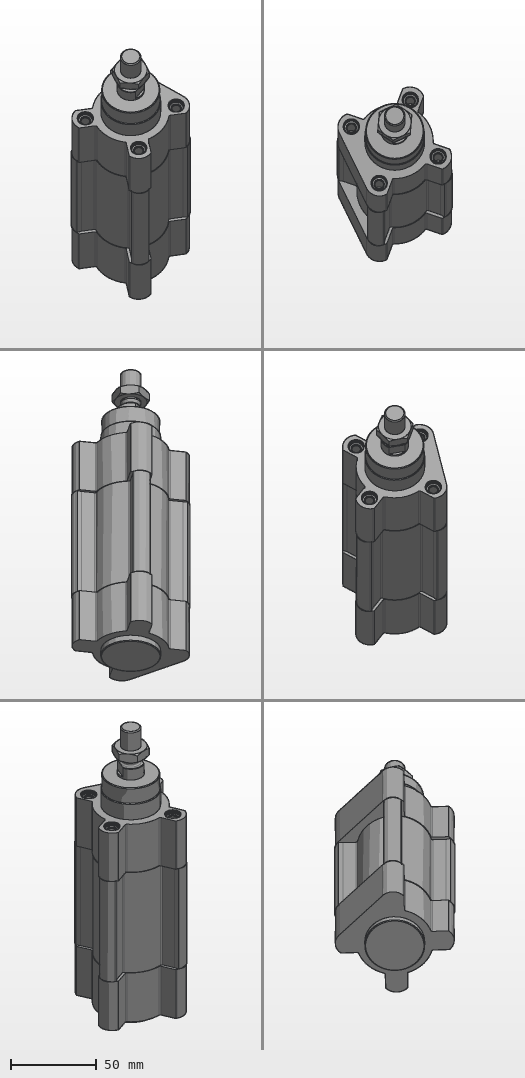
import cadquery as cq
import math

housing_length = 135.0
front_cap_height = 33.0
rear_cap_height = 33.4
barrel_length = housing_length - front_cap_height - rear_cap_height
collar_height = 11.0
nose_height = 10.3
nose_top = collar_height + nose_height
rear_boss_height = 3.9
rod_shoulder = 29.0
thread_length = 24.0
rod_tip = rod_shoulder + thread_length

cap_half_width = 27.0
cap_lobe_radius = 8.4
cap_lobe_center = cap_half_width - cap_lobe_radius
cap_body_radius = 22.5
cap_neck_half_width = 6.5
cap_neck_offset = cap_neck_half_width * math.sqrt(2)
cap_lip_end = cap_half_width - cap_neck_offset

barrel_half_width = 26.8
barrel_lobe_center = 20.3
barrel_body_radius = 22.15
barrel_neck_half_width = 4.7
barrel_neck_offset = barrel_neck_half_width * math.sqrt(2)
barrel_lip_end = 19.5
barrel_lip_drop = 2.2
barrel_neck_start = barrel_half_width - barrel_lip_drop

neck_fillet = 1.0

collar_diameter = 35.0
collar_chamfer = 0.5
boss_chamfer = 0.5
nose_diameter = collar_diameter - 2 * collar_chamfer
nose_waist_diameter = 33.7
nose_chamfer = 0.5

screw_spacing = 38.0
socket_rim_diameter = 9.5
socket_step_diameters = [9.0, 8.8, 8.0, 6.0]
socket_step_depth = 0.7
socket_step_bevel = 0.2
screw_thread_diameter = 4.92
screw_thread_depth = 16.0
drill_point_angle = 118.0

rod_diameter = 16.0
rod_flat_width = 13.0
rod_flat_length = 6.4
rod_shoulder_chamfer = 0.3
thread_diameter = 12.0
tip_chamfer = 0.7
undercut_diameter = 10.2
undercut_height = 2.0
undercut_fillet = 0.9
thread_runout_height = 2.0

nut_width = 19.0
nut_height = 6.0
free_thread_length = 13.0
nut_top = rod_tip - free_thread_length
nut_bottom = nut_top - nut_height
nut_chamfer_angle = 30.0


class NeckCorners(cq.Selector):
    """Vertical edges where the straight lobe necks run into the round body."""

    tolerance = 0.01

    def __init__(self, body_radius, neck_half_width):
        along = math.sqrt(body_radius**2 - neck_half_width**2)
        self.near = (along - neck_half_width) / math.sqrt(2)
        self.far = (along + neck_half_width) / math.sqrt(2)

    def filter(self, edges):
        def is_corner(edge):
            center = edge.Center()
            low, high = sorted((abs(center.x), abs(center.y)))
            on_near = math.isclose(low, self.near, abs_tol=self.tolerance)
            on_far = math.isclose(high, self.far, abs_tol=self.tolerance)
            return on_near and on_far

        return [edge for edge in edges if is_corner(edge)]


def lobed_prism(body_radius, lobe_points, lobe_center, half_width, bottom, height):
    """Round body with four diagonal corner lobes.

    lobe_points run from the end of the lobe's corner arc down the neck towards the axis,
    on the side of the lobe that faces +Y; the other side mirrors them about the diagonal.
    """
    arc_middle = lobe_center + (half_width - lobe_center) / math.sqrt(2)
    lobe = (
        cq.Workplane("XY")
        .moveTo(half_width, lobe_center)
        .threePointArc((arc_middle, arc_middle), (lobe_center, half_width))
    )
    for x, y in lobe_points:
        lobe = lobe.lineTo(x, y)
    for x, y in reversed(lobe_points):
        lobe = lobe.lineTo(y, x)
    lobe = lobe.close().extrude(height)

    prism = cq.Workplane("XY").circle(body_radius).extrude(height)
    for quarter in range(4):
        prism = prism.union(lobe.rotate((0, 0, 0), (0, 0, 1), 90 * quarter))
    return prism.translate((0, 0, bottom))


def end_cap(bottom, height):
    """End cap whose +Y side is closed flat between its two lobes."""
    neck = [(cap_lip_end, cap_half_width), (0, cap_neck_offset)]
    cap = lobed_prism(cap_body_radius, neck, cap_lobe_center, cap_half_width, bottom, height)
    cap = cap.edges(NeckCorners(cap_body_radius, cap_neck_half_width)).fillet(neck_fillet)
    flat_side = (
        cq.Workplane("XY")
        .workplane(offset=bottom)
        .moveTo(0, cap_half_width / 2)
        .rect(2 * cap_lobe_center, cap_half_width)
        .extrude(height)
    )
    return cap.union(flat_side)


def barrel():
    """Profiled tube between the caps, with a small steep lip on each side of every lobe."""
    neck = [
        (barrel_lip_end, barrel_half_width),
        (barrel_neck_start - barrel_neck_offset, barrel_neck_start),
        (0, barrel_neck_offset),
    ]
    bottom = rear_cap_height - housing_length
    tube = lobed_prism(
        barrel_body_radius, neck, barrel_lobe_center, barrel_half_width, bottom, barrel_length
    )
    return tube.edges(NeckCorners(barrel_body_radius, barrel_neck_half_width)).fillet(neck_fillet)


def nose():
    """Collar and the slightly waisted nose ring above it, around the rod."""
    collar = cq.Workplane("XY").circle(collar_diameter / 2).extrude(collar_height)
    collar = collar.faces(">Z").chamfer(collar_chamfer)
    rim = nose_diameter / 2
    waist_level = collar_height + nose_height / 2
    ring = (
        cq.Workplane("XZ")
        .moveTo(0, collar_height)
        .lineTo(rim, collar_height)
        .threePointArc((nose_waist_diameter / 2, waist_level), (rim, nose_top - nose_chamfer))
        .lineTo(rim - nose_chamfer, nose_top)
        .lineTo(0, nose_top)
        .close()
        .revolve(360, (0, 0, 0), (0, 1, 0))
    )
    return collar.union(ring)


def rear_boss():
    """Chamfered centring boss under the rear cap."""
    return (
        cq.Workplane("XY")
        .workplane(offset=-housing_length - rear_boss_height)
        .circle(collar_diameter / 2)
        .extrude(rear_boss_height)
        .faces("<Z")
        .chamfer(boss_chamfer)
    )


def screw_sockets():
    """Stepped sockets of the four cap screws, each ending in a drilled thread hole."""
    core = screw_thread_diameter / 2
    drill_point_height = core / math.tan(math.radians(drill_point_angle / 2))
    outline = cq.Workplane("XZ").lineTo(socket_rim_diameter / 2, 0)
    depth = 0.0
    for diameter in socket_step_diameters:
        outline = outline.lineTo(diameter / 2, -depth - socket_step_bevel)
        depth += socket_step_depth
        outline = outline.lineTo(diameter / 2, -depth)
    socket = (
        outline.lineTo(core, -depth - socket_step_bevel)
        .lineTo(core, -screw_thread_depth)
        .lineTo(0, -screw_thread_depth - drill_point_height)
        .close()
        .revolve(360, (0, 0, 0), (0, 1, 0))
        .val()
    )
    places = cq.Workplane("XY").rect(screw_spacing, screw_spacing, forConstruction=True).vertices()
    return places.eachpoint(lambda place: socket.moved(place))


def make_rod():
    """Piston rod with wrench flats, an undercut and a threaded end."""
    radius = rod_diameter / 2
    thread = thread_diameter / 2
    undercut = undercut_diameter / 2
    undercut_top = rod_shoulder + undercut_height
    shaft = (
        cq.Workplane("XZ")
        .moveTo(0, -front_cap_height)
        .lineTo(radius, -front_cap_height)
        .lineTo(radius, rod_shoulder - rod_shoulder_chamfer)
        .lineTo(radius - rod_shoulder_chamfer, rod_shoulder)
        .lineTo(undercut + undercut_fillet, rod_shoulder)
        .radiusArc((undercut, rod_shoulder + undercut_fillet), undercut_fillet)
        .lineTo(undercut, undercut_top)
        .lineTo(thread, undercut_top + thread_runout_height)
        .lineTo(thread, rod_tip - tip_chamfer)
        .lineTo(thread - tip_chamfer, rod_tip)
        .lineTo(0, rod_tip)
        .close()
        .revolve(360, (0, 0, 0), (0, 1, 0))
    )
    flat_depth = (rod_diameter - rod_flat_width) / 2
    for side in (-1, 1):
        flat = cq.Workplane("XY").box(flat_depth, rod_diameter, rod_flat_length)
        middle = side * (rod_flat_width + flat_depth) / 2
        shaft = shaft.cut(flat.translate((middle, 0, rod_shoulder - rod_flat_length / 2)))
    return shaft


def make_nut():
    """Hexagon lock nut with corners at +Y and -Y, chamfered on both faces."""
    corner_diameter = nut_width / math.cos(math.pi / 6)
    corner = corner_diameter / 2
    drop = (corner - nut_width / 2) * math.tan(math.radians(nut_chamfer_angle))
    hexagon = (
        cq.Workplane("XY")
        .workplane(offset=nut_bottom)
        .polygon(6, corner_diameter)
        .extrude(nut_height)
        .rotate((0, 0, 0), (0, 0, 1), 90)
    )
    envelope = (
        cq.Workplane("XY")
        .workplane(offset=nut_bottom)
        .circle(corner)
        .extrude(nut_height)
        .faces("<Z or >Z")
        .chamfer(drop, corner - nut_width / 2)
    )
    bore = cq.Workplane("XY").workplane(offset=nut_bottom).circle(thread_diameter / 2).extrude(nut_height)
    return hexagon.intersect(envelope).cut(bore)


rod = make_rod()
nut = make_nut()
rod_hole = (
    cq.Workplane("XY")
    .workplane(offset=-front_cap_height)
    .circle(rod_diameter / 2)
    .extrude(front_cap_height + nose_top)
)
housing = (
    barrel()
    .union(end_cap(-front_cap_height, front_cap_height))
    .union(end_cap(-housing_length, rear_cap_height))
    .union(nose())
    .union(rear_boss())
    .cut(screw_sockets())
    .cut(rod_hole)
)

result = cq.Compound.makeCompound([housing.val(), rod.val(), nut.val()])